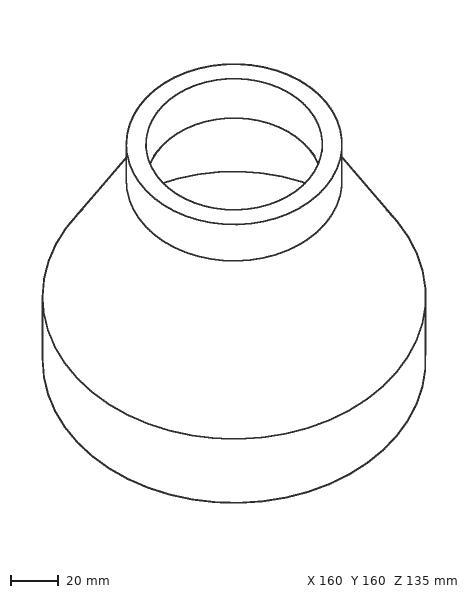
import cadquery as cq
import math

large_diameter = 160.0
small_diameter = 90.0
small_bore = 73.6
total_height = 135.0
large_collar_height = 40.0
small_collar_height = 22.7

wall = (small_diameter - small_bore) / 2
large_bore = large_diameter - 2 * wall
cone_bottom = large_collar_height
cone_top = total_height - small_collar_height

cone_angle = math.atan2((large_diameter - small_diameter) / 2, cone_top - cone_bottom)
bend_drop = wall * math.tan(cone_angle / 2)


def stepped_cone(lower_diameter, upper_diameter, lower_bend, upper_bend):
    """Solid of revolution: lower cylinder, cone and upper cylinder."""
    lower_radius = lower_diameter / 2
    upper_radius = upper_diameter / 2
    return (
        cq.Workplane("XZ")
        .moveTo(0, 0)
        .lineTo(lower_radius, 0)
        .lineTo(lower_radius, lower_bend)
        .lineTo(upper_radius, upper_bend)
        .lineTo(upper_radius, total_height)
        .lineTo(0, total_height)
        .close()
        .revolve(360, (0, 0), (0, 1))
    )


outer_body = stepped_cone(large_diameter, small_diameter, cone_bottom, cone_top)
inner_passage = stepped_cone(
    large_bore, small_bore, cone_bottom - bend_drop, cone_top - bend_drop
)

result = outer_body.cut(inner_passage)